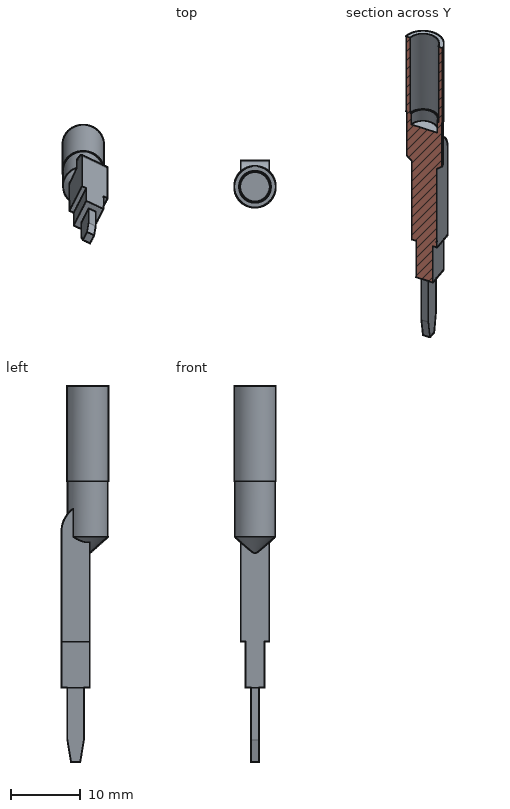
import cadquery as cq

total_height = 53.8

sleeve_diameter = 6.0
sleeve_length = 13.65
body_diameter = 5.8
body_length = 7.95
cone_height = 2.6

bore_diameter = 4.6
bore_depth = sleeve_length
inner_bore_diameter = 4.2
inner_bore_depth = 2.0

shank_width = 4.1
shank_depth = 4.1
shank_back_y = 3.78
shank_shoulder_z = 17.25
shank_top_z = 37.0
shank_round_radius = 4.05

neck_width = 2.75
neck_bottom_z = 10.65

pin_width = 1.15
pin_depth = 2.4
pin_tip_depth = 1.35
pin_taper_height = 3.2

body_top_z = total_height - sleeve_length
body_bottom_z = body_top_z - body_length
shank_center_y = shank_back_y - shank_depth / 2


def cylinder(diameter, bottom_z, length):
    return cq.Workplane("XY").workplane(offset=bottom_z).circle(diameter / 2).extrude(length)


def make_barrel():
    """Sleeve, body and pointed end around the Z axis."""
    sleeve = cylinder(sleeve_diameter, body_top_z, sleeve_length)
    body = cylinder(body_diameter, body_bottom_z, body_length)
    cone = (
        cq.Workplane("XZ")
        .moveTo(0, body_bottom_z)
        .lineTo(body_diameter / 2, body_bottom_z)
        .lineTo(0, body_bottom_z - cone_height)
        .close()
        .revolve(360, (0, 0, 0), (0, 1, 0))
    )
    return sleeve.union(body).union(cone)


def make_bore():
    """Stepped cutter for the blind bore."""
    floor_z = total_height - bore_depth
    wide = cylinder(bore_diameter, floor_z, bore_depth)
    narrow = cylinder(inner_bore_diameter, floor_z - inner_bore_depth, inner_bore_depth)
    return wide.union(narrow)


def make_bar(width, bottom_z, top_z):
    """Rectangular bar with the depth and Y position of the shank."""
    return (
        cq.Workplane("XY")
        .workplane(offset=bottom_z)
        .center(0, shank_center_y)
        .rect(width, shank_depth)
        .extrude(top_z - bottom_z)
    )


def make_shank():
    """Wide bar whose upper back edge is rounded into the barrel."""
    bar = make_bar(shank_width, shank_shoulder_z, shank_top_z)
    return bar.edges(">Z and >Y").fillet(shank_round_radius)


def make_pin():
    """Flat pin with a symmetric taper at its tip."""
    half_depth = pin_depth / 2
    half_tip = pin_tip_depth / 2
    outline = [
        (-half_tip, 0),
        (half_tip, 0),
        (half_depth, pin_taper_height),
        (half_depth, neck_bottom_z),
        (-half_depth, neck_bottom_z),
        (-half_depth, pin_taper_height),
    ]
    return (
        cq.Workplane("YZ")
        .center(shank_center_y, 0)
        .polyline(outline)
        .close()
        .extrude(pin_width / 2, both=True)
    )


neck = make_bar(neck_width, neck_bottom_z, shank_shoulder_z)
result = make_barrel().union(make_shank()).union(neck).union(make_pin()).cut(make_bore())